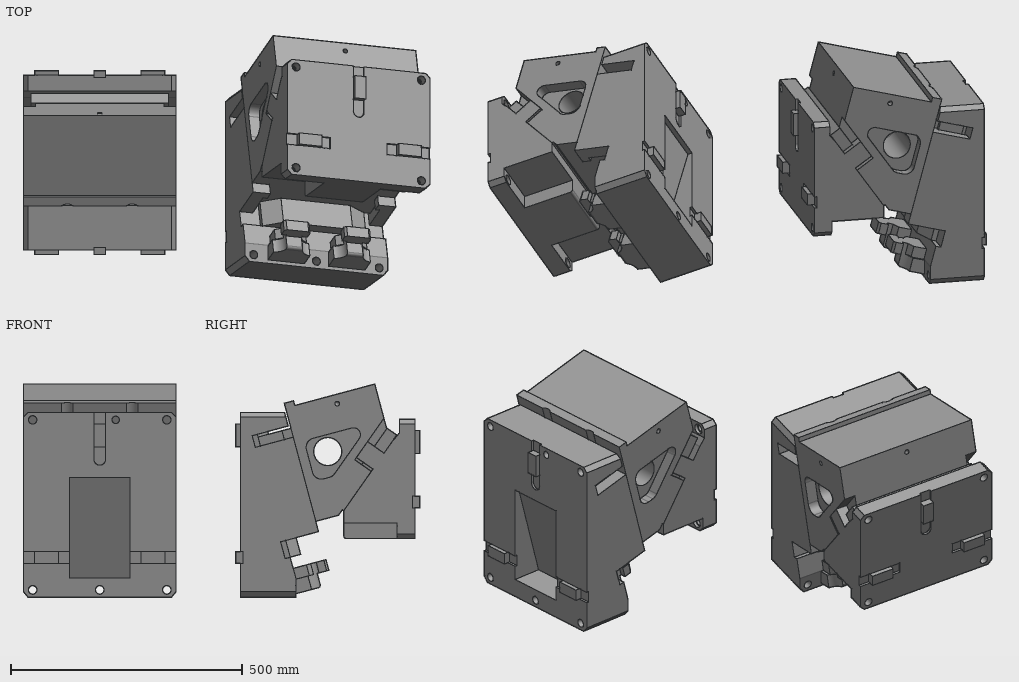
import cadquery as cq
import math

WIDTH = 330.0
HALF_WIDTH = WIDTH / 2
OUTER_Y = 189.0
LARGE = 1000.0

KEY_WIDTH = 25.0
KEY_PROUD = 10.0
KEY_DEPTH = 5.5
SIDE_KEY_LENGTH = 52.0
SIDE_KEY_X = 115.0
UPPER_KEY_LENGTH = 50.0
UPPER_KEY_FROM_TOP = 24.5
UPPER_KEYWAY_LENGTH = 114.0
KEYWAY_INNER_X = 65.5

CHAMFER = 10.0
HOLE_DIAMETER = 18.0
HOLE_X = 145.0
HOLE_EDGE = 16.0
MIDDLE_HOLE_DIAMETER = 16.0
UPPER_MIDDLE_HOLE_X = 34.5

REAR_HEAD_HALF = 149.0
REAR_NECK_HALF = 139.0
FRONT_HEAD_HALF = 135.0
FRONT_NECK_HALF = 125.0
RAIL_GAP = 6.0

TILT = 15.0
SLIDE_Y = -25.7
SLIDE_DEPTH = 200.0
SLIDE_HEIGHT = 254.0
LIP_HEIGHT = 10.5
LIP_DEPTH = 21.0
TOTAL_HEIGHT = 461.09
SIN_TILT = math.sin(math.radians(TILT))
COS_TILT = math.cos(math.radians(TILT))
SLIDE_Z = TOTAL_HEIGHT - SLIDE_DEPTH * SIN_TILT - SLIDE_HEIGHT * COS_TILT
FRONT_NECK = 20.0
FRONT_HEAD_END = 73.5
FRONT_RAIL_TOP = 208.5
GROOVE_X = 70.0
GROOVE_RADIUS = 18.0
GROOVE_WIDTH = 25.0
SMALL_HOLE_DIAMETER = 10.0
SMALL_HOLE_DEPTH = 20.0
DRILL_POINT_HALF_ANGLE = 59.0
SIDE_HOLE_A = -110.5
SMALL_HOLE_FROM_TOP = 20.0
CROSS_HOLE_RADIUS = 30.0
CROSS_HOLE_Z = 315.0

RECESS_DEPTH = 24.5
RECESS_RIGHT = -20.5
RECESS_TOP = 175.0
RECESS_BOTTOM = 84.5
RECESS_WALL = 18.5
RECESS_RADIUS = 20.0
RECESS_SHARP_RADIUS = 15.0

SEAT_ANGLE = 55.0
SIN_SEAT = math.sin(math.radians(SEAT_ANGLE))
COS_SEAT = math.cos(math.radians(SEAT_ANGLE))
REAR_INNER_Y = 34.5
SEAT_START_Z = 187.0
REAR_HEAD = 25.5
REAR_NECK = 18.0
HOOK_HEIGHT = REAR_HEAD + REAR_NECK
HOOK_START = 110.0
HOOK_LENGTH = 42.0
HOOK_END = HOOK_START + HOOK_LENGTH
SEAT_RELIEF_START = 185.6
SEAT_RELIEF_DROP = 3.4
SLIDE_RELIEF = 3.5
SHOULDER = HOOK_START - RAIL_GAP
REAR_HEAD_END = 200.0

REAR_BOTTOM = 126.7
REAR_TOP = 385.0
FLANGE_Y = 154.7
FOOT_Y = 149.8
FOOT_HEIGHT = 34.0
FOOT_HALF_WIDTH = KEYWAY_INNER_X
FOOT_RADIUS = 6.0
REAR_KEY_Z = 206.0
BORE_DIAMETER = 22.0
BORE_DEPTH = 8.0

FRONT_TOP = 399.5
FRONT_FOOT_Y = -68.7
FRONT_BOTTOM_CHAMFER = 12.0
FRONT_KEY_Z = 86.0
UPPER_CLEARANCE = 4.2
SLOT_TOP = FRONT_RAIL_TOP + RAIL_GAP
SLOT_BOTTOM = 188.5
SLOT_END = 85.0
HOOKS_BOTTOM = -23.0
NOTCH_BOTTOM = -60.5
RIB_TIP = 50.0
RIB_HALF = 120.0
RIB_TIP_HALF = 80.0
WINDOW_HALF_WIDTH = KEYWAY_INNER_X
WINDOW_TOP = 259.0
WINDOW_BOTTOM = 41.5
WINDOW_TOP_DEPTH = 10.0

ARM_X = 70.0
ARM_TOP = -85.2
ARM_STEP = -109.5
ARM_BOTTOM = -140.0
ARM_HEAD_HALF = 30.0
ARM_HEAD_END = 22.0
ARM_CHAMFER = 5.0
ARM_NECK_HALF = 18.0
ARM_LOWER_START = 26.0
ARM_SWEEP_START = 23.0
ARM_SWEEP_RADIUS = 24.0
ARM_FLARE_START = 34.5
ARM_ROOT_START = 44.0
ARM_ROOT_HALF = 36.0
ARM_RADIUS = 6.0

slide_plane = cq.Plane(
    origin=(0, SLIDE_Y, SLIDE_Z), xDir=(0, -COS_TILT, -SIN_TILT), normal=(-1, 0, 0)
)
seat_plane = cq.Plane(
    origin=(0, REAR_INNER_Y, SEAT_START_Z), xDir=(0, COS_SEAT, SIN_SEAT), normal=(1, 0, 0)
)


def slab(plane, points, half_width=HALF_WIDTH):
    """Prism over an outline in the given side plane, centred on X = 0."""
    return cq.Workplane(plane).polyline(points).close().extrude(half_width, both=True)


def bar(plane, low, high, half_width=HALF_WIDTH):
    """Block between two opposite corners in the given side plane, centred on X = 0."""
    return slab(plane, [low, (high[0], low[1]), high, (low[0], high[1])], half_width)


def box(x_range, y_range, z_range):
    sizes = [abs(r[1] - r[0]) for r in (x_range, y_range, z_range)]
    middle = [(r[0] + r[1]) / 2 for r in (x_range, y_range, z_range)]
    return cq.Workplane("XY").box(*sizes).translate(tuple(middle))


def y_hole(x, z, diameter, start_y, end_y):
    length = end_y - start_y
    return cq.Workplane("XZ", origin=(x, start_y, z)).circle(diameter / 2).extrude(-length)


def flange_corners(body, bottom, top, bottom_chamfer):
    """Cut the four corners that the mounting face shows, right through in Y."""
    inner = HALF_WIDTH - CHAMFER
    outline = [
        (-inner, bottom),
        (inner, bottom),
        (HALF_WIDTH, bottom + bottom_chamfer),
        (HALF_WIDTH, top - CHAMFER),
        (inner, top),
        (-inner, top),
        (-HALF_WIDTH, top - CHAMFER),
        (-HALF_WIDTH, bottom + bottom_chamfer),
    ]
    return body.intersect(cq.Workplane("XZ").polyline(outline).close().extrude(LARGE, both=True))


def add_keys(body, side, top, side_key_z):
    """Cut the keyways in one mounting face (side is +1 at +Y, -1 at -Y) and add the keys."""
    face = side * OUTER_Y
    floor = side * (OUTER_Y - KEY_DEPTH)
    crest = side * (OUTER_Y + KEY_PROUD)
    half = KEY_WIDTH / 2
    slot_end = top - UPPER_KEYWAY_LENGTH + half
    key_top = top - UPPER_KEY_FROM_TOP
    side_z = (side_key_z - half, side_key_z + half)

    body = body.cut(box((-half, half), (floor, face), (slot_end, top)))
    body = body.cut(y_hole(0, slot_end, KEY_WIDTH, min(floor, face), max(floor, face)))
    body = body.union(box((-half, half), (floor, crest), (key_top - UPPER_KEY_LENGTH, key_top)))
    for hand in (-1, 1):
        body = body.cut(box((hand * KEYWAY_INNER_X, hand * HALF_WIDTH), (floor, face), side_z))
        middle = hand * SIDE_KEY_X
        ends = (middle - SIDE_KEY_LENGTH / 2, middle + SIDE_KEY_LENGTH / 2)
        body = body.union(box(ends, (floor, crest), side_z))
    return body


def plan_at(b, x=0):
    """Workplane square to the sliding face at height b: local x is "a" and local y is -X."""
    return cq.Workplane(
        cq.Plane(
            origin=slide_plane.toWorldCoords((0, b, -x)).toTuple(),
            xDir=slide_plane.xDir.toTuple(),
            normal=slide_plane.yDir.toTuple(),
        )
    )


def rib():
    """Tapered rib along the floor of the front channel; its narrow tip faces the slide block."""
    outline = [
        (SLOT_END, -RIB_HALF),
        (FRONT_HEAD_END, -RIB_HALF),
        (RIB_TIP, -RIB_TIP_HALF),
        (RIB_TIP, RIB_TIP_HALF),
        (FRONT_HEAD_END, RIB_HALF),
        (SLOT_END, RIB_HALF),
    ]
    return plan_at(NOTCH_BOTTOM).polyline(outline).close().extrude(SLOT_TOP - NOTCH_BOTTOM)


def side_recess():
    """Rounded recess outline of the slide block, in the tilted frame, through the full width."""
    seat_origin = slide_plane.toLocalCoords(seat_plane.origin)
    turn = math.radians(SEAT_ANGLE - TILT)
    offset = HOOK_HEIGHT + RECESS_WALL
    edge_a = seat_origin.x + offset * math.sin(turn)
    edge_b = seat_origin.y + offset * math.cos(turn)

    def edge_at(b):
        return edge_a - (b - edge_b) / math.tan(turn)

    corners = [
        (RECESS_RIGHT, RECESS_BOTTOM),
        (RECESS_RIGHT, RECESS_TOP),
        (edge_at(RECESS_TOP), RECESS_TOP),
        (edge_at(RECESS_BOTTOM), RECESS_BOTTOM),
    ]
    radii = [RECESS_RADIUS, RECESS_RADIUS, RECESS_SHARP_RADIUS, RECESS_RADIUS]
    body = slab(slide_plane, corners)
    for (a, b), radius in zip(corners, radii):
        nearest = cq.NearestToPointSelector(slide_plane.toWorldCoords((a, b, 0)).toTuple())
        body = body.edges("|X").edges(nearest).fillet(radius)
    return body


def drilled_hole(mouth, inward):
    """Small blind hole with a drill point."""
    radius = SMALL_HOLE_DIAMETER / 2
    tip = radius / math.tan(math.radians(DRILL_POINT_HALF_ANGLE))
    end = mouth + inward * SMALL_HOLE_DEPTH
    shank = cq.Solid.makeCylinder(radius, SMALL_HOLE_DEPTH, mouth, inward)
    return cq.Workplane(shank.fuse(cq.Solid.makeCone(radius, 0, tip, end, inward)))


def make_slide_block():
    outline = [
        (-SLIDE_DEPTH, 0),
        (0, 0),
        (0, SLIDE_HEIGHT + LIP_HEIGHT),
        (-LIP_DEPTH, SLIDE_HEIGHT + LIP_HEIGHT),
        (-LIP_DEPTH, SLIDE_HEIGHT),
        (-SLIDE_DEPTH, SLIDE_HEIGHT),
    ]
    blank = slab(slide_plane, outline)

    body = blank.cut(bar(seat_plane, (-LARGE, -LARGE), (LARGE, 0)))
    body = body.cut(bar(seat_plane, (-LARGE, 0), (0, SLIDE_RELIEF)))
    body = body.cut(bar(seat_plane, (SHOULDER, -LARGE), (LARGE, HOOK_HEIGHT)))
    neck = bar(seat_plane, (SHOULDER, REAR_HEAD), (LARGE, HOOK_HEIGHT), REAR_NECK_HALF).intersect(blank)
    head = bar(seat_plane, (SHOULDER, 0), (REAR_HEAD_END, REAR_HEAD), REAR_HEAD_HALF)
    body = body.union(neck).union(head)

    body = body.union(bar(slide_plane, (0, 0), (FRONT_NECK, FRONT_RAIL_TOP), FRONT_NECK_HALF))
    front_head = bar(slide_plane, (FRONT_NECK, 0), (FRONT_HEAD_END, FRONT_RAIL_TOP), FRONT_HEAD_HALF)
    body = body.union(front_head.cut(rib()))

    axis_a = math.sqrt(GROOVE_RADIUS**2 - (GROOVE_WIDTH / 2) ** 2)
    grooves = (
        plan_at(FRONT_RAIL_TOP)
        .pushPoints([(axis_a, -GROOVE_X), (axis_a, GROOVE_X)])
        .circle(GROOVE_RADIUS)
        .extrude(SLIDE_HEIGHT)
    )
    body = body.cut(grooves)

    web = box((RECESS_DEPTH - HALF_WIDTH, HALF_WIDTH - RECESS_DEPTH), (-LARGE, LARGE), (0, LARGE))
    body = body.cut(side_recess().cut(web))
    cross_hole = cq.Workplane("YZ").center(0, CROSS_HOLE_Z).circle(CROSS_HOLE_RADIUS)
    body = body.cut(cross_hole.extrude(HALF_WIDTH, both=True))
    hole_b = SLIDE_HEIGHT - SMALL_HOLE_FROM_TOP
    side_centre = slide_plane.toWorldCoords((SIDE_HOLE_A, hole_b, 0))
    for hand in (-1, 1):
        mouth = cq.Vector(hand * HALF_WIDTH, side_centre.y, side_centre.z)
        body = body.cut(drilled_hole(mouth, cq.Vector(-hand, 0, 0)))
    back_mouth = slide_plane.toWorldCoords((-SLIDE_DEPTH, hole_b, 0))
    return body.cut(drilled_hole(back_mouth, slide_plane.xDir))


def make_rear_block():
    seat_end_z = SEAT_START_Z + (FLANGE_Y - REAR_INNER_Y) * SIN_SEAT / COS_SEAT
    outline = [
        (OUTER_Y, REAR_BOTTOM),
        (REAR_INNER_Y, REAR_BOTTOM),
        (REAR_INNER_Y, SEAT_START_Z),
        (REAR_INNER_Y + SEAT_RELIEF_START * COS_SEAT, SEAT_START_Z + SEAT_RELIEF_START * SIN_SEAT),
        (FLANGE_Y, seat_end_z - SEAT_RELIEF_DROP),
        (FLANGE_Y, REAR_TOP),
        (OUTER_Y, REAR_TOP),
    ]
    body = slab(cq.Plane.YZ(), outline).edges("|X and <Y and <Z").fillet(FOOT_RADIUS)
    body = flange_corners(body, REAR_BOTTOM, REAR_TOP, CHAMFER)

    hooks = bar(seat_plane, (HOOK_START, 0), (HOOK_END, HOOK_HEIGHT))
    hooks = hooks.cut(bar(seat_plane, (HOOK_START, 0), (HOOK_END, REAR_HEAD), REAR_HEAD_HALF))
    hooks = hooks.cut(bar(seat_plane, (HOOK_START, 0), (HOOK_END, HOOK_HEIGHT), REAR_NECK_HALF))
    body = body.union(hooks)

    foot_z = (REAR_BOTTOM, REAR_BOTTOM + FOOT_HEIGHT)
    for hand in (-1, 1):
        beside_foot = (hand * FOOT_HALF_WIDTH, hand * HALF_WIDTH)
        body = body.cut(box(beside_foot, (REAR_INNER_Y, FOOT_Y), foot_z))

    body = add_keys(body, 1, REAR_TOP, REAR_KEY_Z)
    for hand in (-1, 1):
        for z, inner_y in ((REAR_BOTTOM + HOLE_EDGE, FOOT_Y), (REAR_TOP - HOLE_EDGE, FLANGE_Y)):
            body = body.cut(y_hole(hand * HOLE_X, z, HOLE_DIAMETER, inner_y, OUTER_Y))
            body = body.cut(y_hole(hand * HOLE_X, z, BORE_DIAMETER, inner_y, inner_y + BORE_DEPTH))
    return body


def hook_arm(x):
    """Arm under the front block: a T-headed upper layer over a headless lower layer."""
    sweep_edge = ARM_NECK_HALF + ARM_SWEEP_RADIUS
    sweep_end = ARM_SWEEP_START + ARM_SWEEP_RADIUS

    def sweep_point(a):
        """Point of the round flank between neck and root, at depth a."""
        return (a, sweep_edge - math.sqrt(ARM_SWEEP_RADIUS**2 - (a - ARM_SWEEP_START) ** 2))

    upper = (
        plan_at(ARM_STEP, x)
        .moveTo(0, 0)
        .lineTo(0, ARM_HEAD_HALF - ARM_CHAMFER)
        .lineTo(ARM_CHAMFER, ARM_HEAD_HALF)
        .lineTo(ARM_HEAD_END, ARM_HEAD_HALF)
        .lineTo(ARM_HEAD_END, ARM_NECK_HALF)
        .lineTo(ARM_SWEEP_START, ARM_NECK_HALF)
        .radiusArc(sweep_point(ARM_FLARE_START), -ARM_SWEEP_RADIUS)
        .lineTo(ARM_ROOT_START, ARM_ROOT_HALF)
        .lineTo(SLOT_END, ARM_ROOT_HALF)
        .lineTo(SLOT_END, 0)
        .mirrorX()
        .extrude(ARM_TOP - ARM_STEP)
    )
    lower = (
        plan_at(ARM_BOTTOM, x)
        .moveTo(ARM_LOWER_START, 0)
        .lineTo(*sweep_point(ARM_LOWER_START))
        .radiusArc((sweep_end, sweep_edge), -ARM_SWEEP_RADIUS)
        .lineTo(SLOT_END, sweep_edge)
        .lineTo(SLOT_END, 0)
        .mirrorX()
        .extrude(ARM_STEP - ARM_BOTTOM)
    )
    round_corner = (
        cq.Workplane(slide_plane)
        .moveTo(ARM_LOWER_START, ARM_BOTTOM)
        .lineTo(ARM_LOWER_START, ARM_BOTTOM + ARM_RADIUS)
        .radiusArc((ARM_LOWER_START + ARM_RADIUS, ARM_BOTTOM), -ARM_RADIUS)
        .close()
        .extrude(LARGE, both=True)
    )
    return upper.union(lower.cut(round_corner))


def make_front_block():
    body = box((-HALF_WIDTH, HALF_WIDTH), (-OUTER_Y, 0), (0, FRONT_TOP))
    body = body.intersect(
        slab(
            slide_plane,
            [
                (UPPER_CLEARANCE, LARGE),
                (UPPER_CLEARANCE, SLOT_TOP),
                (SLOT_END, SLOT_TOP),
                (SLOT_END, SLOT_BOTTOM),
                (0, SLOT_BOTTOM),
                (0, HOOKS_BOTTOM),
                (SLOT_END, HOOKS_BOTTOM),
                (SLOT_END, NOTCH_BOTTOM),
                (FRONT_HEAD_END, NOTCH_BOTTOM),
                (FRONT_HEAD_END, -LARGE),
                (LARGE, -LARGE),
                (LARGE, LARGE),
            ],
        )
    )
    notch_corner = slide_plane.toWorldCoords((FRONT_HEAD_END, NOTCH_BOTTOM, 0))
    body = body.cut(box((-HALF_WIDTH, HALF_WIDTH), (FRONT_FOOT_Y, 0), (0, notch_corner.z)))
    body = flange_corners(body, 0, FRONT_TOP, FRONT_BOTTOM_CHAMFER)

    body = body.cut(bar(slide_plane, (0, HOOKS_BOTTOM), (FRONT_NECK, SLOT_BOTTOM), FRONT_NECK_HALF))
    body = body.cut(bar(slide_plane, (FRONT_NECK, HOOKS_BOTTOM), (SLOT_END, SLOT_BOTTOM), FRONT_HEAD_HALF))
    body = body.union(rib())

    wall_run = (WINDOW_TOP - WINDOW_BOTTOM) * SIN_TILT / COS_TILT
    window = [
        (-OUTER_Y, WINDOW_BOTTOM),
        (-OUTER_Y, WINDOW_TOP),
        (WINDOW_TOP_DEPTH - OUTER_Y, WINDOW_TOP),
        (WINDOW_TOP_DEPTH - OUTER_Y + wall_run, WINDOW_BOTTOM),
    ]
    body = add_keys(body, -1, FRONT_TOP, FRONT_KEY_Z)
    body = body.cut(slab(cq.Plane.YZ(), window, WINDOW_HALF_WIDTH))

    for x in (-ARM_X, ARM_X):
        body = body.union(hook_arm(x))

    upper_z = FRONT_TOP - HOLE_EDGE
    for x in (-HOLE_X, HOLE_X):
        for z in (HOLE_EDGE, upper_z):
            body = body.cut(y_hole(x, z, HOLE_DIAMETER, -OUTER_Y, 0))
    body = body.cut(y_hole(0, HOLE_EDGE, HOLE_DIAMETER, -OUTER_Y, 0))
    return body.cut(y_hole(UPPER_MIDDLE_HOLE_X, upper_z, MIDDLE_HOLE_DIAMETER, -OUTER_Y, 0))


slide_block = make_slide_block()
rear_block = make_rear_block()
front_block = make_front_block()

result = cq.Compound.makeCompound([body.solids().val() for body in (slide_block, rear_block, front_block)])